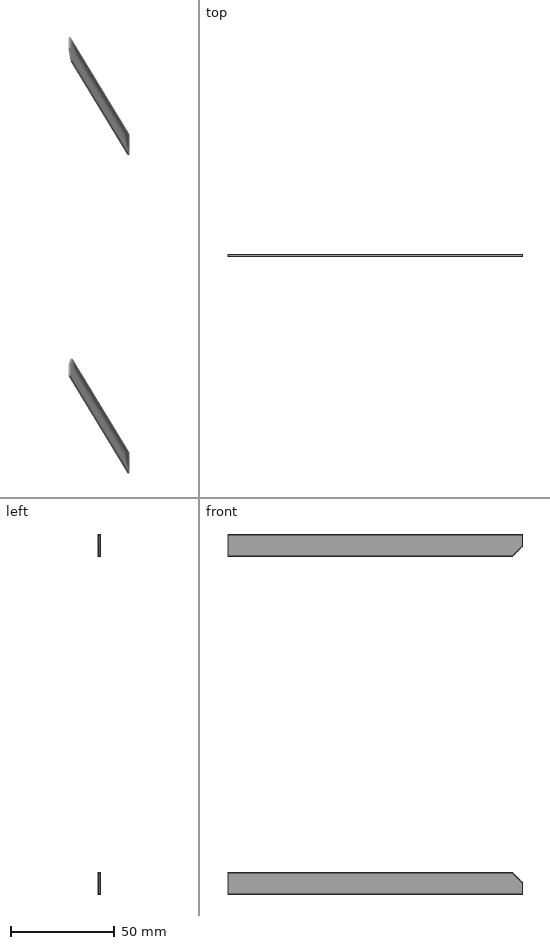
import cadquery as cq

strip_length = 142.8
strip_thickness = 1.0
strip_width = 10.5
overall_height = 174.14
corner_cut = 5.0


def make_strip(outer_z, inward):
    """Flat strip with its long outer edge at outer_z; inward (+1 or -1) points to the other strip."""
    inner_z = outer_z + inward * strip_width
    half_length = strip_length / 2
    outline = [
        (-half_length, outer_z),
        (half_length, outer_z),
        (half_length, inner_z - inward * corner_cut),
        (half_length - corner_cut, inner_z),
        (-half_length, inner_z),
    ]
    return (
        cq.Workplane("XZ")
        .polyline(outline)
        .close()
        .extrude(strip_thickness / 2, both=True)
    )


strips = [make_strip(side * overall_height / 2, -side) for side in (-1, 1)]

result = cq.Compound.makeCompound([strip.val() for strip in strips])